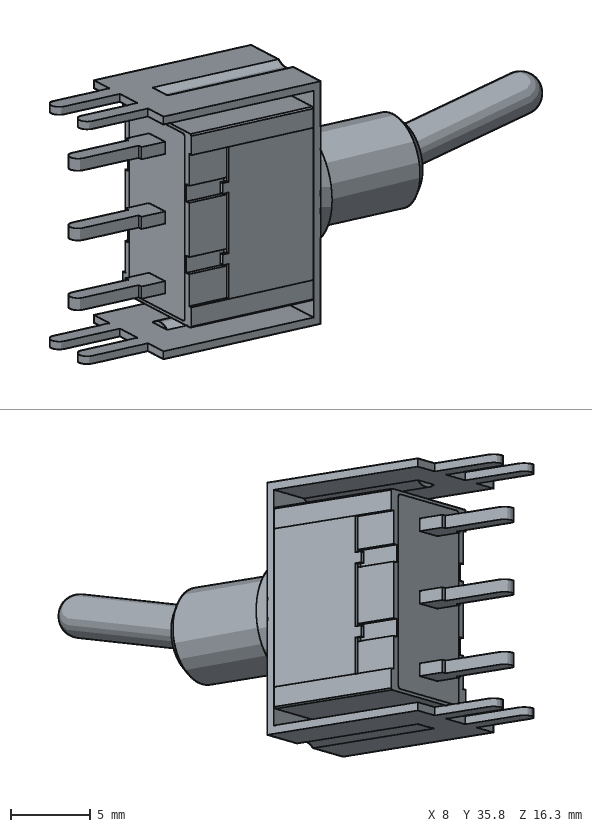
import cadquery as cq
import math


bracket_width = 8.0
bracket_height = 16.3
sheet = 0.55
bracket_leg_end = -11.85
bracket_pin_end = -16.65
bracket_pin_offset = 1.6
bead_width = 1.68
bead_depth = 0.3
bead_end = -9.5

bushing_diameter = 6.22
bushing_top = 8.7
bushing_chamfer = 0.6
flange_diameter = bracket_width
flange_thickness = 0.85
clip_width = 10.22
clip_sheet = 0.268
clip_leg_end = -6.9
tooth_width = 0.7
tooth_length = 0.45
tooth_offset = 2.4

case_width = 7.9
case_height = 13.0
case_edge_chamfer = 0.1
case_top = -sheet
case_end = -9.72
notch_width = 1.15
notch_floor_width = 6.72

base_width = 6.35
base_height = 12.58
base_depth = 1.07
base_corner_radius = 0.2
terminal_pitch = 4.68
terminal_thickness = 0.82
terminal_shoulder_width = 1.85
terminal_shoulder_end = -11.5
terminal_end = -16.3
pin_width = 1.2

lever_diameter = 2.8
lever_tip = 19.1
lever_pivot = 6.08
lever_tilt = 12.5


def block(width, y_start, y_end, height):
    """Box centred on X and Z that spans y_start to y_end."""
    return cq.Workplane().box(width, y_end - y_start, height).translate((0, (y_start + y_end) / 2, 0))


def rod(diameter, y_start, y_end):
    """Cylinder on the Y axis that spans y_start to y_end."""
    return cq.Workplane("XZ", origin=(0, y_end, 0)).circle(diameter / 2).extrude(y_end - y_start)


def round_ended_pin(y_start, y_end, thickness):
    """Flat pin centred on X and Z, with a full round at y_end."""
    half = pin_width / 2
    return (
        cq.Workplane("XY", origin=(0, 0, -thickness / 2))
        .moveTo(-half, y_start)
        .lineTo(-half, y_end + half)
        .threePointArc((0, y_end), (half, y_end + half))
        .lineTo(half, y_start)
        .close()
        .extrude(thickness)
    )


def bead(face_height):
    """Circular segment that hangs from the plane Z = face_height, along the bracket leg."""
    half = bead_width / 2
    return (
        cq.Workplane("XZ")
        .moveTo(-half, face_height)
        .threePointArc((0, face_height - bead_depth), (half, face_height))
        .close()
        .extrude(-bead_end)
    )


def upright_lever():
    """Lever before it is tilted, from its pivot to its hemispherical tip."""
    radius = lever_diameter / 2
    length = (lever_tip - radius - lever_pivot) / math.cos(math.radians(lever_tilt))
    shaft_end = lever_pivot + length
    tip = cq.Workplane().sphere(radius).translate((0, shaft_end, 0))
    return rod(lever_diameter, lever_pivot, shaft_end).union(tip)


def make_lever():
    return upright_lever().rotate((0, lever_pivot, 0), (1, lever_pivot, 0), lever_tilt)


def make_bracket():
    inner_height = bracket_height - 2 * sheet
    body = block(bracket_width, bracket_leg_end, 0, bracket_height)
    body = body.cut(block(bracket_width, bracket_leg_end, -sheet, inner_height))

    leg_middle = (bracket_height - sheet) / 2
    pin = round_ended_pin(bracket_leg_end, bracket_pin_end, sheet)
    for x in (-bracket_pin_offset, bracket_pin_offset):
        for z in (-leg_middle, leg_middle):
            body = body.union(pin.translate((x, 0, z)))

    rib = bead(inner_height / 2)
    groove = bead(bracket_height / 2)
    body = body.union(rib).union(rib.mirror("XY"))
    body = body.cut(groove).cut(groove.mirror("XY"))
    return body.cut(rod(bushing_diameter, -sheet, 0))


def make_clip():
    """Strap across the top of the case and down both sides, with two teeth on each leg."""
    clip = block(case_width, clip_leg_end, case_top, clip_width)
    for z in (-tooth_offset, tooth_offset):
        tooth = block(case_width, clip_leg_end - tooth_length, clip_leg_end, tooth_width)
        clip = clip.union(tooth.translate((0, 0, z)))
    inside = block(case_width - 2 * clip_sheet, case_end, case_top - clip_sheet, clip_width)
    return clip.cut(inside)


def make_bushing(lever):
    barrel = rod(bushing_diameter, case_top, bushing_top).faces(">Y").chamfer(bushing_chamfer)
    flange = rod(flange_diameter, 0, flange_thickness)
    return barrel.union(flange).union(make_clip()).cut(lever)


def make_case():
    case = block(case_width, case_end, case_top, case_height).edges("|Y").chamfer(case_edge_chamfer)

    core_width = case_width - 2 * clip_sheet
    recess = block(case_width, case_end, case_top, clip_width)
    recess = recess.cut(block(core_width, case_end, case_top - clip_sheet, clip_width))
    case = case.cut(recess)

    for z in (-tooth_offset, tooth_offset):
        notch = block(core_width, case_end, clip_leg_end, notch_width)
        notch = notch.cut(block(notch_floor_width, case_end, clip_leg_end, notch_width))
        case = case.cut(notch.translate((0, 0, z)))

    return case.cut(base_plug())


def base_plug():
    plug = block(base_width, case_end, case_end + base_depth, base_height)
    return plug.edges("|Y").fillet(base_corner_radius)


def make_base():
    shoulder = block(terminal_shoulder_width, terminal_shoulder_end, case_end, terminal_thickness)
    terminal = shoulder.union(round_ended_pin(terminal_shoulder_end, terminal_end, terminal_thickness))
    base = base_plug()
    for z in (-terminal_pitch, 0, terminal_pitch):
        base = base.union(terminal.translate((0, 0, z)))
    return base


lever = make_lever()
bracket = make_bracket()
bushing = make_bushing(lever)
case = make_case()
base = make_base()

result = cq.Compound.makeCompound([lever.val(), bracket.val(), bushing.val(), case.val(), base.val()])